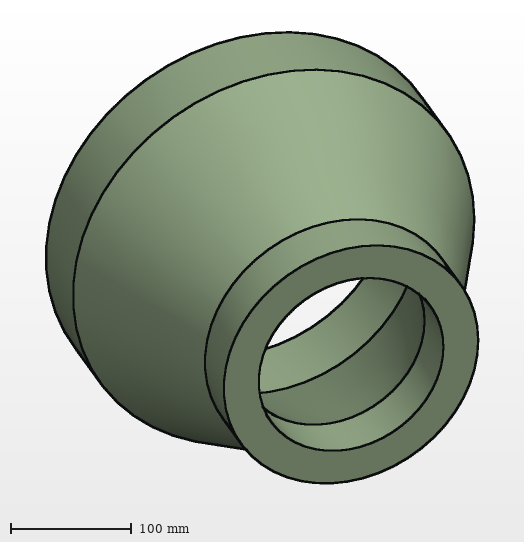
import cadquery as cq

total_length = 250.0
large_end_length = 65.0
small_end_length = 45.0

large_outer_diameter = 355.0
large_bore_diameter = 258.0
small_outer_diameter = 225.0
small_bore_diameter = 163.3

taper_end = total_length - small_end_length


def stepped_cone(large_diameter, small_diameter):
    """Solid with a cylinder at each end, joined by a cone."""
    large_radius = large_diameter / 2
    small_radius = small_diameter / 2
    return (
        cq.Workplane("XY")
        .moveTo(0, 0)
        .lineTo(0, large_radius)
        .lineTo(large_end_length, large_radius)
        .lineTo(taper_end, small_radius)
        .lineTo(total_length, small_radius)
        .lineTo(total_length, 0)
        .close()
        .revolve(360, (0, 0, 0), (1, 0, 0))
    )


outer_body = stepped_cone(large_outer_diameter, small_outer_diameter)
bore = stepped_cone(large_bore_diameter, small_bore_diameter)

result = outer_body.cut(bore)